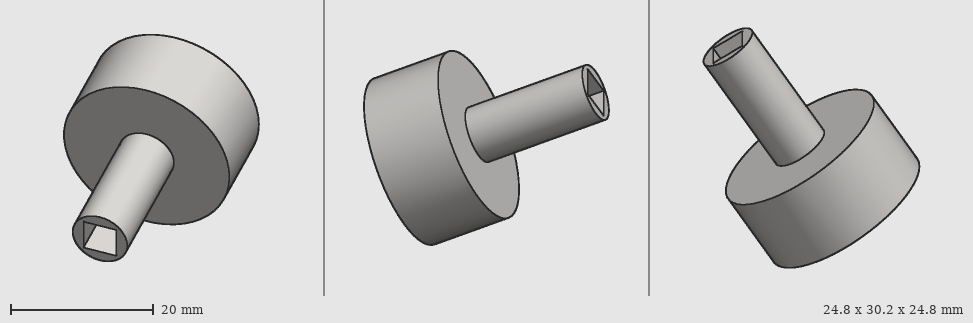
import cadquery as cq

HEAD_DIAMETER = 24.84
HEAD_LENGTH = 11.7
STEM_DIAMETER = 8.2
OVERALL_LENGTH = 30.17
SQUARE_SIDE = 4.9

STEM_LENGTH = OVERALL_LENGTH - HEAD_LENGTH


def cylinder_along_y(diameter, length):
    """Cylinder centred on the Y axis, running from Y = 0 towards +Y."""
    return cq.Workplane("XZ").circle(diameter / 2).extrude(-length)


def make_head():
    """Wide round head behind the stem."""
    return cylinder_along_y(HEAD_DIAMETER, HEAD_LENGTH).translate((0, STEM_LENGTH, 0))


def make_stem():
    """Slim stem, carried through the head so that the two bodies overlap."""
    return cylinder_along_y(STEM_DIAMETER, OVERALL_LENGTH)


def make_square_bore():
    """Square bore running the full length of the part."""
    return cq.Workplane("XZ").rect(SQUARE_SIDE, SQUARE_SIDE).extrude(-OVERALL_LENGTH)


result = make_head().union(make_stem()).cut(make_square_bore())